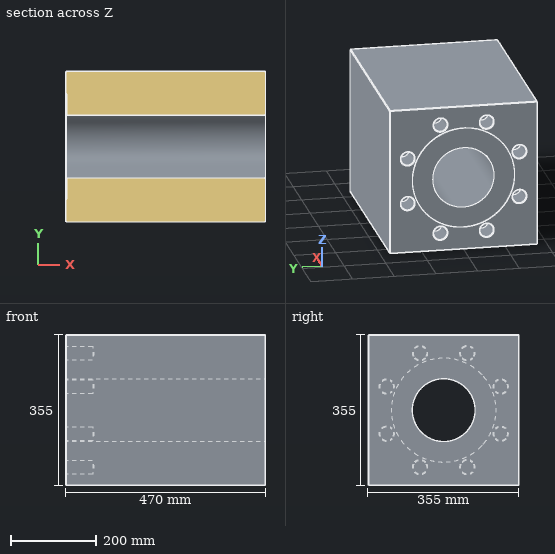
import cadquery as cq
import math

LENGTH = 470.0
SIDE = 355.0
EDGE_CHAMFER = 2.0

BORE_DIAMETER = 147.0
RECESS_DIAMETER = 245.5
RECESS_DEPTH = 2.5

BOLT_COUNT = 8
BOLT_CIRCLE_DIAMETER = 290.0
BOLT_HOLE_DIAMETER = 32.0
BOLT_HOLE_DEPTH = 64.0
DRILL_POINT_ANGLE = 160.0
COUNTERSINK_DIAMETER = 35.5

FACE_X = -LENGTH / 2


def make_block():
    """Square block with every outer edge chamfered."""
    return cq.Workplane("XY").box(LENGTH, SIDE, SIDE).edges().chamfer(EDGE_CHAMFER)


def face_cylinder(diameter, depth):
    """Cylinder on the X axis, reaching inward from the -X face."""
    return cq.Workplane("YZ", origin=(FACE_X, 0, 0)).circle(diameter / 2).extrude(depth)


def bolt_hole():
    """Bolt hole on the X axis: 45 degree countersink, straight wall and drill point."""
    radius = BOLT_HOLE_DIAMETER / 2
    mouth_radius = COUNTERSINK_DIAMETER / 2
    countersink_depth = mouth_radius - radius
    point_depth = radius / math.tan(math.radians(DRILL_POINT_ANGLE / 2))
    profile = [
        (0, 0),
        (0, mouth_radius),
        (countersink_depth, radius),
        (BOLT_HOLE_DEPTH, radius),
        (BOLT_HOLE_DEPTH + point_depth, 0),
    ]
    hole = cq.Workplane("XY").polyline(profile).close().revolve(360, (0, 0, 0), (1, 0, 0))
    return hole.translate((FACE_X, 0, 0))


result = make_block()
result = result.cut(face_cylinder(BORE_DIAMETER, LENGTH))
result = result.cut(face_cylinder(RECESS_DIAMETER, RECESS_DEPTH))

angle_step = 360 / BOLT_COUNT
first_hole = bolt_hole().translate((0, BOLT_CIRCLE_DIAMETER / 2, 0))
for index in range(BOLT_COUNT):
    angle = (index + 0.5) * angle_step
    result = result.cut(first_hole.rotate((0, 0, 0), (1, 0, 0), angle))